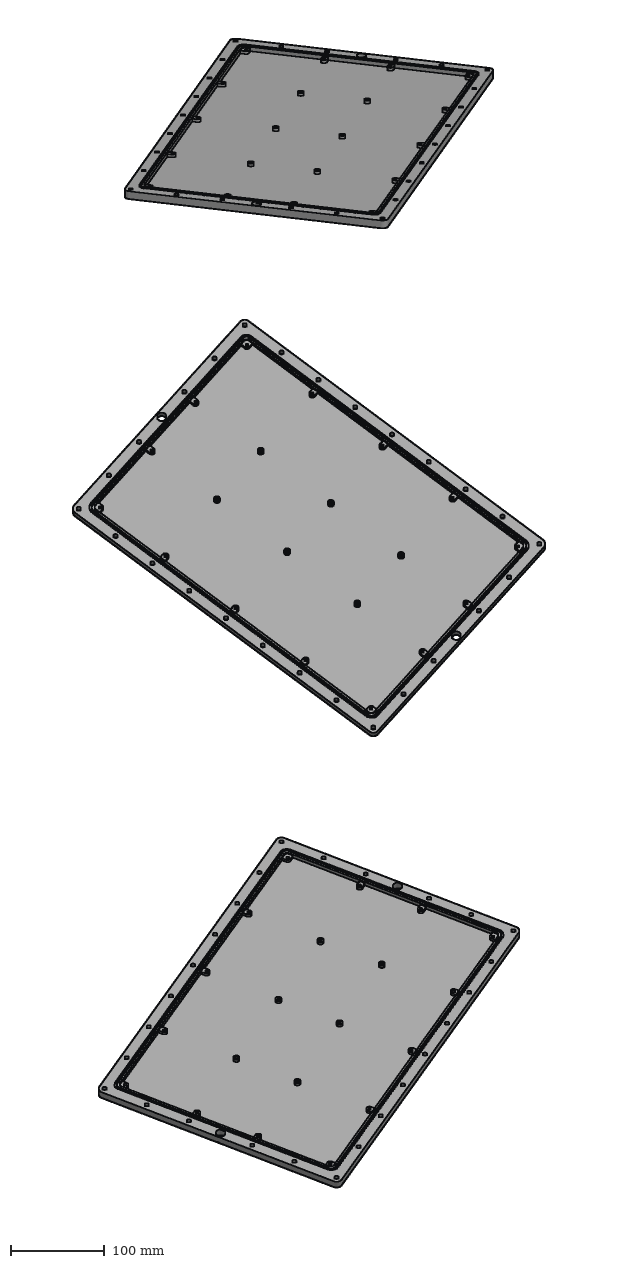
import cadquery as cq
import math

length_y = 419.0
width_x = 292.0
thickness = 9.2
corner_radius = 6.3

hole_inset = 6.3
screw_hole_diameter = 4.5
locating_hole_diameter = 10.0
hole_line_x = width_x / 2 - hole_inset
hole_line_y = length_y / 2 - hole_inset
side_pitch_count = 8
hole_pitch = 2 * hole_line_y / side_pitch_count
holes_per_half_end = 3

groove_inset = 12.0
groove_width = 2.5
groove_depth = 2.0
groove_corner_radius = 7.5
wall_thickness = 2.5
pocket_inset = groove_inset + groove_width + wall_thickness
pocket_depth = 5.0
pocket_corner_radius = 3.8
floor_z = thickness - pocket_depth

boss_diameter = 6.5
boss_hole_diameter = 3.0
boss_height = 3.5
inner_column_x = 37.0
outer_column_x = 123.5
middle_row_y = 96.8
end_row_y = 187.0
boss_columns = (-outer_column_x, -inner_column_x, inner_column_x, outer_column_x)
boss_rows = (-end_row_y, -middle_row_y, 0, middle_row_y, end_row_y)
boss_points = [(x, y) for x in boss_columns for y in boss_rows]


def rounded_block(inset, radius, bottom_z, top_z):
    """Round-cornered block whose sides lie the given inset inside the plate edges."""
    return (
        cq.Workplane("XY", origin=(0, 0, bottom_z))
        .rect(width_x - 2 * inset, length_y - 2 * inset)
        .extrude(top_z - bottom_z)
        .edges("|Z")
        .fillet(radius)
    )


def screw_hole_points():
    """Points evenly spaced along both long sides, and stepping inward from each corner at the ends."""
    points = []
    for side in (-1, 1):
        for step in range(side_pitch_count + 1):
            points.append((side * hole_line_x, -hole_line_y + step * hole_pitch))
        for step in range(1, holes_per_half_end):
            x = side * (hole_line_x - step * hole_pitch)
            points.append((x, -hole_line_y))
            points.append((x, hole_line_y))
    return points


def through_holes(points, diameter):
    """Round cutters through the full plate thickness."""
    return cq.Workplane("XY").pushPoints(points).circle(diameter / 2).extrude(thickness)


def seal_groove():
    """Round-cornered ring of constant width cut into the top face."""
    bottom_z = thickness - groove_depth
    outer = rounded_block(groove_inset, groove_corner_radius, bottom_z, thickness)
    inner_radius = groove_corner_radius - groove_width
    inner = rounded_block(groove_inset + groove_width, inner_radius, bottom_z, thickness)
    return outer.cut(inner)


def boss(x, y):
    """Round boss; in the outer columns and end rows, webs join it to the nearby pocket walls."""
    base = cq.Workplane("XY", origin=(x, y, floor_z))
    to_wall_x = math.copysign(width_x / 2 - pocket_inset, x) - x
    to_wall_y = math.copysign(length_y / 2 - pocket_inset, y) - y
    in_outer_column = abs(x) == outer_column_x
    in_end_row = abs(y) == end_row_y

    def web(reach_x, reach_y, size_x, size_y):
        return base.center(reach_x / 2, reach_y / 2).rect(size_x, size_y).extrude(boss_height)

    body = base.circle(boss_diameter / 2).extrude(boss_height)
    if in_outer_column:
        body = body.union(web(to_wall_x, 0, abs(to_wall_x), boss_diameter))
    if in_end_row:
        body = body.union(web(0, to_wall_y, boss_diameter, abs(to_wall_y)))
    if in_outer_column and in_end_row:
        body = body.union(web(to_wall_x, to_wall_y, abs(to_wall_x), abs(to_wall_y)))
    return body


def boss_holes():
    """Blind holes down the bosses, ending at the pocket floor."""
    return (
        cq.Workplane("XY", origin=(0, 0, floor_z))
        .pushPoints(boss_points)
        .circle(boss_hole_diameter / 2)
        .extrude(boss_height)
    )


result = rounded_block(0, corner_radius, 0, thickness)
result = result.cut(rounded_block(pocket_inset, pocket_corner_radius, floor_z, thickness))
result = result.cut(seal_groove())
result = result.cut(through_holes(screw_hole_points(), screw_hole_diameter))
result = result.cut(through_holes([(0, -hole_line_y), (0, hole_line_y)], locating_hole_diameter))
for point in boss_points:
    result = result.union(boss(*point))
result = result.cut(boss_holes())